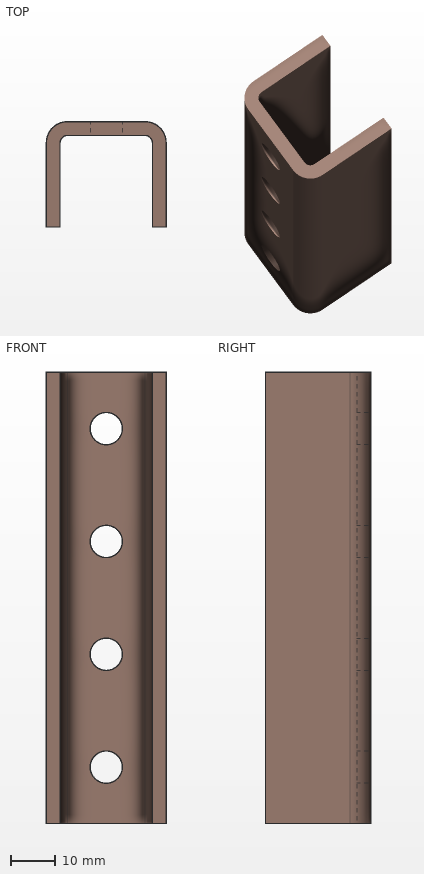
import cadquery as cq

length = 101.6
width = 27.0
depth = 23.8
wall = 3.1
outer_radius = 4.8
inner_radius = outer_radius - wall

hole_diameter = 7.2
hole_count = 4
hole_pitch = length / hole_count

web_outer_y = depth / 2


def rounded_block(block_width, back_y, corner_radius):
    """Full-length block from the open side to back_y, with its two back edges rounded."""
    block_depth = back_y + depth / 2
    return (
        cq.Workplane("XY")
        .box(block_width, block_depth, length)
        .translate((0, back_y - block_depth / 2, 0))
        .edges("|Z and >Y")
        .fillet(corner_radius)
    )


def web_holes():
    """Evenly spaced cylinders crossing the web."""
    return (
        cq.Workplane("XZ", origin=(0, web_outer_y, 0))
        .rarray(1, hole_pitch, 1, hole_count)
        .circle(hole_diameter / 2)
        .extrude(2 * wall, both=True)
    )


outer_body = rounded_block(width, web_outer_y, outer_radius)
inner_channel = rounded_block(width - 2 * wall, web_outer_y - wall, inner_radius)

result = outer_body.cut(inner_channel).cut(web_holes())